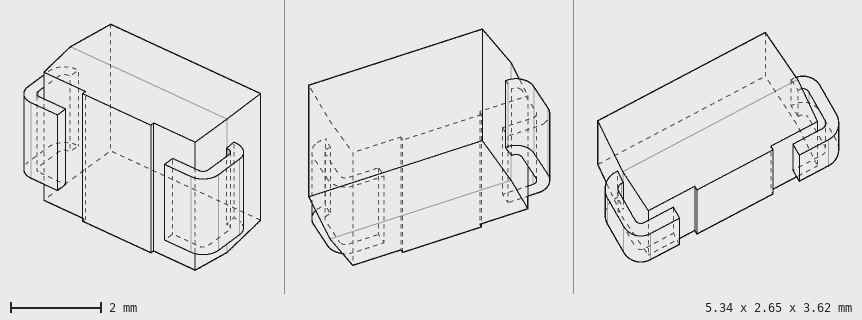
import cadquery as cq
import math

parting_length = 4.39
parting_width = 3.62
draft_angle = 4.0
back_depth = 1.315
end_face_depth = 1.035
pad_height = 0.095
pad_length = 1.91

lead_span = 5.34
lead_width = 2.05
lead_thickness = 0.29
lead_inner_radius = 0.145
lead_back_y = 0.265
lead_front_y = -1.335
foot_length = 1.17

front_depth = end_face_depth + pad_height
half_span = lead_span / 2
select_margin = 0.055


def make_housing_half(depth, direction):
    """Tapered block from the parting plane towards +Y (1) or -Y (-1)."""
    shrink = 2 * depth * math.tan(math.radians(draft_angle))
    return (
        cq.Workplane("XZ")
        .rect(parting_length, parting_width)
        .workplane(offset=-direction * depth)
        .rect(parting_length - shrink, parting_width - shrink)
        .loft(ruled=True)
    )


def make_housing():
    body = make_housing_half(back_depth, 1).union(make_housing_half(front_depth, -1))
    step_length = (lead_span - pad_length) / 2
    step_center_x = (pad_length + step_length) / 2
    for side in (-1, 1):
        step = cq.Workplane("XY").box(step_length, pad_height, parting_width)
        step_center_y = -end_face_depth - pad_height / 2
        body = body.cut(step.translate((side * step_center_x, step_center_y, 0)))
    return body


def make_lead(side, housing):
    """C-shaped lead at the -X (-1) or +X (1) end, trimmed to the housing end face."""
    outer_x = side * half_span
    inner_x = side * (half_span - lead_thickness)
    foot_end_x = side * (half_span - foot_length)
    back_arm_end_x = side * (parting_length / 2 - lead_thickness)
    inner_back_y = lead_back_y - lead_thickness
    inner_front_y = lead_front_y + lead_thickness

    strip = (
        cq.Workplane("XY")
        .polyline([
            (back_arm_end_x, lead_back_y),
            (outer_x, lead_back_y),
            (outer_x, lead_front_y),
            (foot_end_x, lead_front_y),
            (foot_end_x, inner_front_y),
            (inner_x, inner_front_y),
            (inner_x, inner_back_y),
            (back_arm_end_x, inner_back_y),
        ])
        .close()
        .extrude(lead_width / 2, both=True)
    )
    outer_bends = cq.selectors.BoxSelector(
        (outer_x - select_margin, lead_front_y - select_margin, -lead_width),
        (outer_x + select_margin, lead_back_y + select_margin, lead_width),
    )
    inner_bends = cq.selectors.BoxSelector(
        (inner_x - select_margin, inner_front_y - select_margin, -lead_width),
        (inner_x + select_margin, inner_back_y + select_margin, lead_width),
    )
    strip = strip.edges("|Z").edges(outer_bends).fillet(lead_inner_radius + lead_thickness)
    strip = strip.edges("|Z").edges(inner_bends).fillet(lead_inner_radius)
    return strip.cut(housing)


housing = make_housing()
leads = [make_lead(side, housing) for side in (-1, 1)]

result = cq.Compound.makeCompound([
    housing.solids().val(),
    *[lead.solids().val() for lead in leads],
])